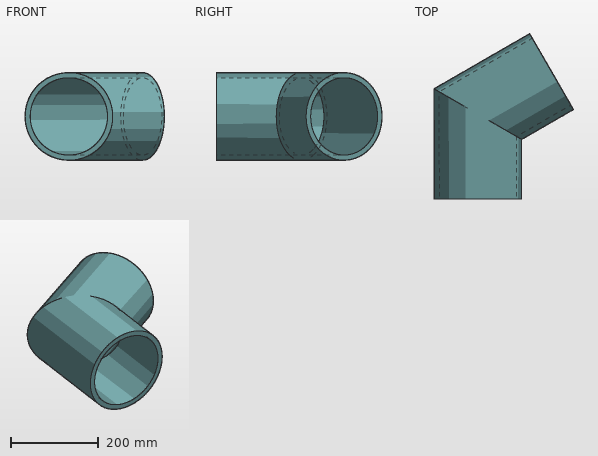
import cadquery as cq
import math

outer_diameter = 200.0
wall = 11.9
leg_length = 194.0
bend_angle = 60.0

outer_radius = outer_diameter / 2
inner_radius = outer_radius - wall
bend = math.radians(bend_angle)

inlet_end = (0, -leg_length)
outlet_end = (leg_length * math.sin(bend), leg_length * math.cos(bend))


def swept_cylinder(radius):
    """Solid round bar following both legs, with a sharp mitre at the bend."""
    path = cq.Workplane("XY").polyline([inlet_end, (0, 0), outlet_end])
    profile = cq.Workplane("XZ", origin=(*inlet_end, 0)).circle(radius)
    return profile.sweep(path, transition="right")


elbow = swept_cylinder(outer_radius).cut(swept_cylinder(inner_radius))
result = elbow.solids()